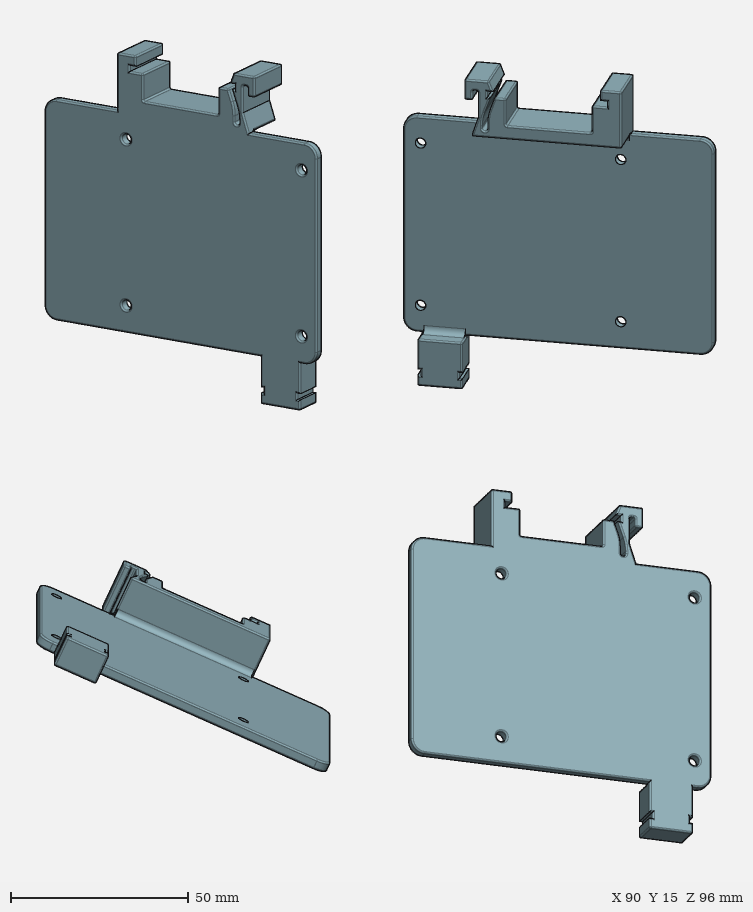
import cadquery as cq
import math


PLATE_WIDTH = 90.0
PLATE_HEIGHT = 65.0
PLATE_THICKNESS = 3.0
PLATE_CORNER_RADIUS = 4.0

HOLE_DIAMETER = 3.0
HOLE_LEFT = 27.0
HOLE_BOTTOM = 8.0
HOLE_SPACING_X = 58.0
HOLE_SPACING_Z = 49.0

CLIP_DEPTH = 15.0
CLIP_TOP = PLATE_HEIGHT + 17.0
POST_LEFT = 24.0
POST_LIP_RIGHT = 30.2
LIP_BOTTOM = CLIP_TOP - 3.1
SHOULDER_TOP = CLIP_TOP - 4.9
SHOULDER_LEFT = 32.6
SHOULDER_RIGHT = 57.5
FLOOR = CLIP_TOP - 13.0
RAIL_LEFT = 28.1
RAIL_RIGHT = 62.9

SLOT_SLOPE = math.tan(math.radians(20.0))
SLOT_MOUTH_LEFT = 60.8
SLOT_MOUTH_RIGHT = 62.0
SLOT_WIDTH = 1.6
SLOT_LEFT = 62.8
SLOT_RIGHT = SLOT_LEFT + SLOT_WIDTH
SLOT_BOTTOM = CLIP_TOP - 15.15
SLOT_ROUND_CENTER = SLOT_BOTTOM + SLOT_WIDTH / 2
SLOT_LEFT_BEND = SHOULDER_TOP - (SLOT_LEFT - SLOT_MOUTH_LEFT) / SLOT_SLOPE
SLOT_RIGHT_BEND = SHOULDER_TOP - (SLOT_RIGHT - SLOT_MOUTH_RIGHT) / SLOT_SLOPE
SLOT_BEND_RADIUS = 12.0

CATCH_TIP = 61.3
CATCH_TOP = 62.5
ARM_RIGHT = 65.55
ARM_BASE = CLIP_TOP - 11.2
CLIP_RIGHT = 67.5
HOOK_LEFT = 67.2
HOOK_RIGHT = 69.5
HOOK_BOTTOM = CLIP_TOP - 6.05

FOOT_LEFT = 71.5
FOOT_WIDTH = 13.0
FOOT_RIGHT = FOOT_LEFT + FOOT_WIDTH
FOOT_BOTTOM = -14.0
FOOT_DEPTH = 9.0
FOOT_NOTCH_DEPTH = 0.9
FOOT_NOTCH_TOP = -9.1
FOOT_NOTCH_HEIGHT = 1.8

EDGE_RADIUS = 0.5
ROOT_RADIUS = 2.0
SLAB_SIZE = 4 * PLATE_WIDTH

CLIP_ROUNDED_CORNERS = [
    (POST_LEFT, CLIP_TOP),
    (POST_LIP_RIGHT, CLIP_TOP),
    (SHOULDER_LEFT, SHOULDER_TOP),
    (SHOULDER_LEFT, FLOOR),
    (SHOULDER_RIGHT, FLOOR),
    (SHOULDER_RIGHT, SHOULDER_TOP),
    (SLOT_MOUTH_LEFT, SHOULDER_TOP),
    (CATCH_TOP, CLIP_TOP),
    (HOOK_RIGHT, CLIP_TOP),
    (HOOK_RIGHT, HOOK_BOTTOM),
    (HOOK_LEFT, HOOK_BOTTOM),
    (HOOK_LEFT, LIP_BOTTOM),
    (ARM_RIGHT, LIP_BOTTOM),
]
CLIP_BASE_CORNERS = [(POST_LEFT, PLATE_HEIGHT), (CLIP_RIGHT, PLATE_HEIGHT)]
SLOT_BENDS = [(SLOT_LEFT, SLOT_LEFT_BEND), (SLOT_RIGHT, SLOT_RIGHT_BEND)]
FOOT_ROUNDED_CORNERS = [(FOOT_LEFT, FOOT_BOTTOM), (FOOT_RIGHT, FOOT_BOTTOM)]
FOOT_BASE_CORNERS = [(FOOT_LEFT, 0), (FOOT_RIGHT, 0)]


def sketch_plane(y):
    """XZ plane at the given Y; extruding from it runs toward -Y."""
    return cq.Workplane("XZ", origin=(0, y, 0))


def depth_edges(solid, corners, tolerance=0.01):
    """Edges along Y that pass through the given (x, z) corners."""
    found = []
    for edge in solid.edges("|Y").vals():
        center = edge.Center()
        if any(math.hypot(center.x - x, center.z - z) < tolerance for x, z in corners):
            found.append(edge)
    return found


def round_edges(solid, edges, radius=EDGE_RADIUS):
    return solid.newObject(edges).fillet(radius)


def make_plate():
    plate = (
        cq.Workplane("XY")
        .box(PLATE_WIDTH, PLATE_THICKNESS, PLATE_HEIGHT, centered=False)
        .edges("|Y")
        .fillet(PLATE_CORNER_RADIUS)
    )
    return plate.faces(">Y").edges().fillet(EDGE_RADIUS)


def make_clip():
    clip = (
        sketch_plane(CLIP_DEPTH)
        .moveTo(POST_LEFT, PLATE_HEIGHT)
        .lineTo(POST_LEFT, CLIP_TOP)
        .lineTo(POST_LIP_RIGHT, CLIP_TOP)
        .lineTo(POST_LIP_RIGHT, LIP_BOTTOM)
        .lineTo(RAIL_LEFT, LIP_BOTTOM)
        .lineTo(RAIL_LEFT, SHOULDER_TOP)
        .lineTo(SHOULDER_LEFT, SHOULDER_TOP)
        .lineTo(SHOULDER_LEFT, FLOOR)
        .lineTo(SHOULDER_RIGHT, FLOOR)
        .lineTo(SHOULDER_RIGHT, SHOULDER_TOP)
        .lineTo(SLOT_MOUTH_LEFT, SHOULDER_TOP)
        .lineTo(SLOT_LEFT, SLOT_LEFT_BEND)
        .lineTo(SLOT_LEFT, SLOT_ROUND_CENTER)
        .threePointArc((SLOT_LEFT + SLOT_WIDTH / 2, SLOT_BOTTOM), (SLOT_RIGHT, SLOT_ROUND_CENTER))
        .lineTo(SLOT_RIGHT, SLOT_RIGHT_BEND)
        .lineTo(SLOT_MOUTH_RIGHT, SHOULDER_TOP)
        .lineTo(RAIL_RIGHT, SHOULDER_TOP)
        .lineTo(RAIL_RIGHT, LIP_BOTTOM)
        .lineTo(CATCH_TIP, LIP_BOTTOM)
        .lineTo(CATCH_TOP, CLIP_TOP)
        .lineTo(HOOK_RIGHT, CLIP_TOP)
        .lineTo(HOOK_RIGHT, HOOK_BOTTOM)
        .lineTo(HOOK_LEFT, HOOK_BOTTOM)
        .lineTo(HOOK_LEFT, LIP_BOTTOM)
        .lineTo(ARM_RIGHT, LIP_BOTTOM)
        .lineTo(ARM_RIGHT, ARM_BASE)
        .lineTo(CLIP_RIGHT, PLATE_HEIGHT)
        .close()
        .extrude(CLIP_DEPTH)
    )
    clip = round_edges(clip, depth_edges(clip, SLOT_BENDS), SLOT_BEND_RADIUS)
    return round_edges(clip, depth_edges(clip, CLIP_ROUNDED_CORNERS))


def make_foot():
    foot = (
        cq.Workplane("XY", origin=(FOOT_LEFT, 0, FOOT_BOTTOM))
        .box(FOOT_WIDTH, FOOT_DEPTH, -FOOT_BOTTOM, centered=False)
    )
    notch_bottom = FOOT_NOTCH_TOP - FOOT_NOTCH_HEIGHT
    for notch_left in (FOOT_LEFT, FOOT_RIGHT - FOOT_NOTCH_DEPTH):
        notch = (
            cq.Workplane("XY", origin=(notch_left, 0, notch_bottom))
            .box(FOOT_NOTCH_DEPTH, FOOT_DEPTH, FOOT_NOTCH_HEIGHT, centered=False)
        )
        foot = foot.cut(notch)
    return round_edges(foot, depth_edges(foot, FOOT_ROUNDED_CORNERS))


def round_behind_plate(block, base_corners):
    """Round the rear rim and the base edges, but only behind the plate."""
    front_slab = block.intersect(
        sketch_plane(PLATE_THICKNESS).rect(SLAB_SIZE, SLAB_SIZE).extrude(PLATE_THICKNESS)
    )
    rim = block.faces(">Y").edges().vals()
    return round_edges(block, rim + depth_edges(block, base_corners)).union(front_slab)


def make_root(left, right, base_z, toward_plate):
    """Concave rounding from a block's base down the plate's rear face.

    toward_plate is -1 if the plate lies below the base, +1 if above. The root
    reaches half way into the plate, filling the rounded plate edge.
    """
    tangent_z = base_z + toward_plate * ROOT_RADIUS
    inside_y = PLATE_THICKNESS / 2
    return (
        cq.Workplane("YZ", origin=(left + EDGE_RADIUS, 0, 0))
        .moveTo(inside_y, base_z)
        .lineTo(PLATE_THICKNESS + ROOT_RADIUS, base_z)
        .radiusArc((PLATE_THICKNESS, tangent_z), toward_plate * ROOT_RADIUS)
        .lineTo(inside_y, tangent_z)
        .close()
        .extrude(right - left - 2 * EDGE_RADIUS)
    )


def make_holes():
    centers = [
        (HOLE_LEFT + column * HOLE_SPACING_X, HOLE_BOTTOM + row * HOLE_SPACING_Z)
        for column in range(2)
        for row in range(2)
    ]
    return (
        sketch_plane(PLATE_THICKNESS)
        .pushPoints(centers)
        .circle(HOLE_DIAMETER / 2)
        .extrude(PLATE_THICKNESS)
    )


body = (
    make_plate()
    .union(make_root(POST_LEFT, CLIP_RIGHT, PLATE_HEIGHT, -1))
    .union(make_root(FOOT_LEFT, FOOT_RIGHT, 0, 1))
    .union(round_behind_plate(make_clip(), CLIP_BASE_CORNERS))
    .union(round_behind_plate(make_foot(), FOOT_BASE_CORNERS))
    .clean()
    .cut(make_holes())
)

result = body.faces("<Y").edges().fillet(EDGE_RADIUS)